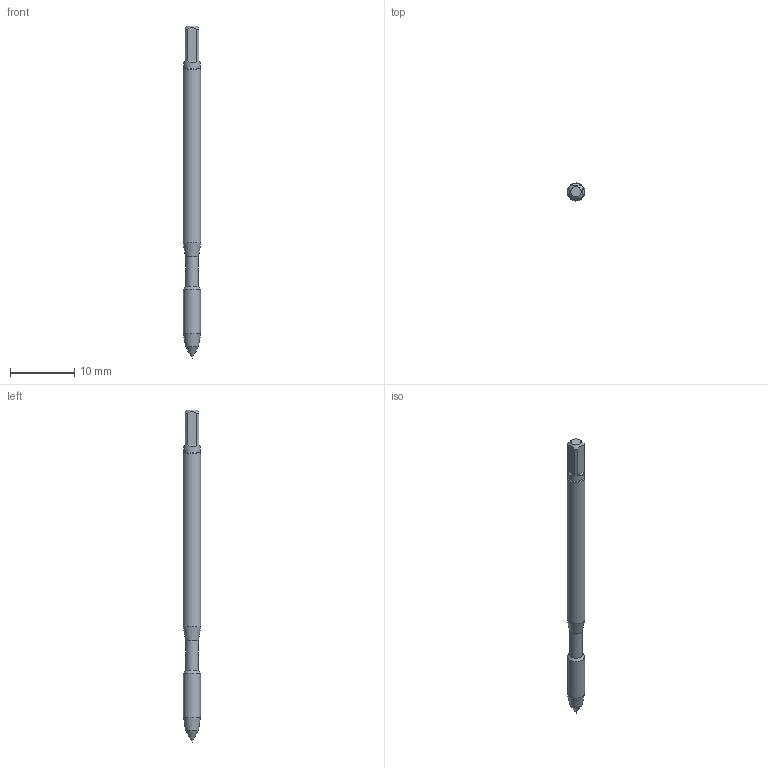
import cadquery as cq
import math

overall_length = 51.78
barrel_diameter = 2.8
head_diameter = 2.67
tail_diameter = 2.6
neck_diameter = 2.0

point_angle = 60
point_length = neck_diameter / 2 / math.tan(math.radians(point_angle / 2))

head_taper_top = 3.78
head_top = 10.75
neck_bottom = 11.18
barrel_bottom = 15.78
barrel_taper_top = 18.0
shoulder_bottom = 45.06

shoulder_top = shoulder_bottom + (barrel_diameter - tail_diameter) / 2

flat_width = 2.1
flat_count = 4
flat_bottom = 46.03
tail_chamfer = 0.5


def revolve_profile(points):
    """Turn a closed (radius, height) outline about the Z axis."""
    return cq.Workplane("XZ").polyline(points).close().revolve(360, (0, 0, 0), (0, 1, 0))


def make_flat_cutter():
    """Block that mills one flat; its floor rises at 45 degrees toward the axis."""
    inner = flat_width / 2
    outer = barrel_diameter
    tail_radius = tail_diameter / 2
    floor_outer = flat_bottom - (outer - tail_radius)
    floor_inner = flat_bottom + (tail_radius - inner)
    return (
        cq.Workplane("XZ")
        .polyline([
            (inner, floor_inner),
            (outer, floor_outer),
            (outer, overall_length),
            (inner, overall_length),
        ])
        .close()
        .extrude(barrel_diameter / 2, both=True)
    )


def make_barrel():
    """Round barrel tapering to the neck diameter below, with a four-flat tail on top."""
    barrel_radius = barrel_diameter / 2
    tail_radius = tail_diameter / 2
    turned = revolve_profile([
        (0, barrel_bottom),
        (neck_diameter / 2, barrel_bottom),
        (barrel_radius, barrel_taper_top),
        (barrel_radius, shoulder_bottom),
        (tail_radius, shoulder_top),
        (tail_radius, overall_length - tail_chamfer),
        (tail_radius - tail_chamfer, overall_length),
        (0, overall_length),
    ])
    flat_cutter = make_flat_cutter()
    for i in range(flat_count):
        angle = i * 360 / flat_count
        turned = turned.cut(flat_cutter.rotate((0, 0, 0), (0, 0, 1), angle))
    return turned


def make_plunger():
    """Neck that meets the barrel's end face, with a tapered head and a needle point."""
    neck_radius = neck_diameter / 2
    head_radius = head_diameter / 2
    return revolve_profile([
        (0, 0),
        (neck_radius, point_length),
        (head_radius, head_taper_top),
        (head_radius, head_top),
        (neck_radius, neck_bottom),
        (neck_radius, barrel_bottom),
        (0, barrel_bottom),
    ])


barrel = make_barrel()
plunger = make_plunger()
result = cq.Compound.makeCompound([barrel.val(), plunger.val()])